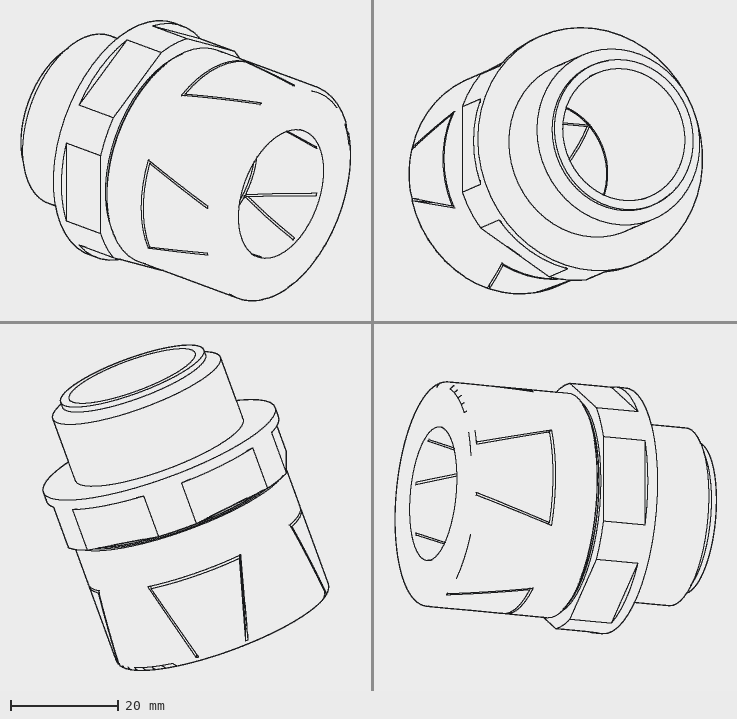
import cadquery as cq

length = 51.0
bore_radius = 25.0 / 2

tip_radius = 28.4 / 2
tip_length = 1.0
spigot_radius = 33.3 / 2
cone_end_x = 2.45

collar_radius = 46.0 / 2
collar_start_x = 15.05
collar_end_x = 25.25
flats_start_x = 17.0
across_flats = 43.05
flat_count = 6

neck_radius = 40.0 / 2
neck_land_radius = neck_radius + 0.15
neck_step_x = 25.6
neck_land_x = 26.0

nut_start_x = 26.25
nut_radius = 42.0 / 2
rim_start_x = 50.1
rim_rounding = length - rim_start_x

tongue_count = 4
slot_start_x = 34.6
end_slot_width = 0.5
slot_wide_half = 9.2
slot_narrow_half = 5.1
side_slot_width = 0.45


def make_body():
    """Revolve the stepped outer profile around the X axis."""
    profile = [
        (0, 0),
        (0, tip_radius),
        (tip_length, tip_radius),
        (cone_end_x, spigot_radius),
        (collar_start_x, spigot_radius),
        (collar_start_x, collar_radius),
        (collar_end_x, collar_radius),
        (collar_end_x, neck_land_radius),
        (neck_step_x, neck_land_radius),
        (neck_step_x, neck_radius),
        (neck_land_x, neck_radius),
        (neck_land_x, neck_land_radius),
        (nut_start_x, neck_land_radius),
        (nut_start_x, nut_radius),
        (rim_start_x, nut_radius),
    ]
    rim_edge = (length, nut_radius - rim_rounding)
    outer = (
        cq.Workplane("XY")
        .polyline(profile)
        .tangentArcPoint(rim_edge, relative=False)
        .lineTo(length, 0)
        .close()
    )
    return outer.revolve(360, (0, 0, 0), (1, 0, 0))


def make_flat_cutter():
    """Material outside one wrench flat on the +Z side."""
    cut_length = collar_end_x - flats_start_x
    cutter = cq.Workplane("XY").box(
        cut_length, across_flats, collar_radius, centered=(False, True, False)
    )
    return cutter.translate((flats_start_x, 0, across_flats / 2))


def trapezoid_prism(start_x, wide_half, narrow_half):
    """Dovetail outline narrowing toward the rim, extruded outward from the axis in +Z."""
    outline = [
        (start_x, -wide_half),
        (rim_start_x, -narrow_half),
        (rim_start_x, narrow_half),
        (start_x, wide_half),
    ]
    return cq.Workplane("XY").polyline(outline).close().extrude(collar_radius)


def make_tongue_cutter():
    """U-shaped slot around one tongue on the +Z side."""
    inner_start_x = slot_start_x + end_slot_width
    inner_wide_half = slot_wide_half - side_slot_width
    inner_narrow_half = slot_narrow_half - side_slot_width
    pocket = trapezoid_prism(slot_start_x, slot_wide_half, slot_narrow_half)
    tongue = trapezoid_prism(inner_start_x, inner_wide_half, inner_narrow_half)
    return pocket.cut(tongue)


def cut_around_axis(body, cutter, count, first_angle):
    """Remove equally spaced copies of a cutter around the X axis."""
    for index in range(count):
        angle = first_angle + index * 360 / count
        body = body.cut(cutter.rotate((0, 0, 0), (1, 0, 0), angle))
    return body


result = make_body()
result = cut_around_axis(result, make_flat_cutter(), flat_count, 90)
result = cut_around_axis(result, make_tongue_cutter(), tongue_count, 0)
bore = cq.Workplane("YZ").circle(bore_radius).extrude(length)
result = result.cut(bore)